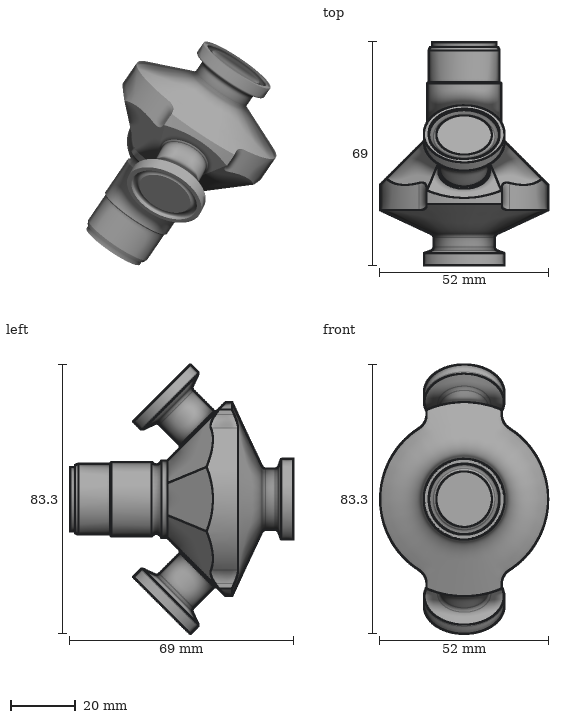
import cadquery as cq
import math

OVERALL_LENGTH = 69.0
OVERALL_HEIGHT = 83.3

FLANGE_R = 12.5
FLANGE_RIM = 3.3
RIM_EDGE = 0.5
RIM_EDGE_DROP = 0.25
FLARE_ANGLE = 20.0
FLARE_FILLET = 1.2

GROOVE_R = 11.0
GROOVE_WALL_R = 10.8
GROOVE_WALL_DEPTH = 0.5
GROOVE_MIDDLE_R = 10.2
GROOVE_DEPTH = 1.7
GROOVE_INNER_R = 9.5
GROOVE_INNER_DEPTH = 1.4
DISC_R = 8.6
DISC_DEPTH = 0.5

NECK_R = 9.5
NECK_FILLET = 1.25
CONE_ANGLE = 65.0

DISC_BODY_R = 26.0
LOBE_R = 30.0
LOBE_HALF_WIDTH = 11.7
LOBE_FILLET = 5.0
LOBE_FRONT_Y = 18.9
BODY_BACK_Y = 38.8
PYRAMID_SIDES = 8
PYRAMID_ANGLE = 45.0

COLLAR_R = 12.0
COLLAR_END_Y = 40.75
RELIEF_R = 10.75
RELIEF_MIDDLE_Y = 42.25
RELIEF_END_Y = 43.75
SPIGOT_R = 11.5
SPIGOT_END_Y = 56.25
TAIL_START_Y = 56.7
TAIL_R = 11.0
TAIL_END_Y = 66.4
TAIL_CHAMFER_R = 10.5
TIP_R = 10.0
TIP_START_Y = 67.5

NOZZLE_R = 7.5
NOZZLE_LENGTH = 16.0
NOZZLE_ROOT = 2.5
NOZZLE_ROOT_FILLET = 0.5


def flanged_stem(stem_r, length):
    """Flange with its face at y = 0 and a stem running along +Y."""
    edge_r = FLANGE_R - RIM_EDGE_DROP
    edge_y = FLANGE_RIM + RIM_EDGE
    root_y = edge_y + (edge_r - stem_r) * math.tan(math.radians(FLARE_ANGLE))
    tangent = FLARE_FILLET * math.tan(math.radians(45 - FLARE_ANGLE / 2))
    turn = math.radians(90 - FLARE_ANGLE)
    flare_end = (
        stem_r + tangent * math.cos(math.radians(FLARE_ANGLE)),
        root_y - tangent * math.sin(math.radians(FLARE_ANGLE)),
    )
    stem_start_y = root_y + tangent
    fillet_middle = (
        stem_r + FLARE_FILLET * (1 - math.cos(turn / 2)),
        stem_start_y - FLARE_FILLET * math.sin(turn / 2),
    )
    profile = (
        cq.Workplane("XY")
        .moveTo(0, DISC_DEPTH)
        .lineTo(DISC_R, DISC_DEPTH)
        .lineTo(GROOVE_INNER_R, GROOVE_INNER_DEPTH)
        .threePointArc((GROOVE_MIDDLE_R, GROOVE_DEPTH), (GROOVE_WALL_R, GROOVE_WALL_DEPTH))
        .lineTo(GROOVE_R, 0)
        .lineTo(FLANGE_R, 0)
        .lineTo(FLANGE_R, FLANGE_RIM)
        .tangentArcPoint((edge_r, edge_y), relative=False)
        .lineTo(*flare_end)
        .threePointArc(fillet_middle, (stem_r, stem_start_y))
        .lineTo(stem_r, length)
        .lineTo(0, length)
        .close()
    )
    return profile.revolve(360, (0, 0, 0), (0, 1, 0))


def body_outline(depth):
    """Disc with two filleted lobes, extruded along +Y from y = 0."""
    disc = cq.Workplane("XZ").circle(DISC_BODY_R).extrude(-depth)
    lobes = (
        cq.Workplane("XZ")
        .rect(2 * LOBE_HALF_WIDTH, 2 * LOBE_R)
        .extrude(-depth)
        .intersect(cq.Workplane("XZ").circle(LOBE_R).extrude(-depth))
    )
    corner_z = math.sqrt(DISC_BODY_R**2 - LOBE_HALF_WIDTH**2)
    reach = 0.8
    corners = cq.selectors.BoxSelector(
        (-LOBE_HALF_WIDTH - reach, 0, -corner_z - reach),
        (LOBE_HALF_WIDTH + reach, depth, corner_z + reach),
    )
    return disc.union(lobes).edges("|Y").edges(corners).fillet(LOBE_FILLET)


def front_cone():
    """Cone whose surface reaches the lobe radius at LOBE_FRONT_Y, closed at the body back."""
    slope = math.tan(math.radians(CONE_ANGLE))
    apex_y = LOBE_FRONT_Y - LOBE_R / slope
    back_r = (BODY_BACK_Y - apex_y) * slope
    return (
        cq.Workplane("XY")
        .polyline([(0, apex_y), (back_r, BODY_BACK_Y), (0, BODY_BACK_Y)])
        .close()
        .revolve(360, (0, 0, 0), (0, 1, 0))
    )


def rear_pyramid():
    """Octagonal pyramid that touches the collar at the back and widens to y = 0."""
    corner_ratio = 1 / math.cos(math.pi / PYRAMID_SIDES)
    back_flat_r = COLLAR_R
    front_flat_r = COLLAR_R + BODY_BACK_Y * math.tan(math.radians(PYRAMID_ANGLE))
    half_side = 180 / PYRAMID_SIDES
    return (
        cq.Workplane("XZ", origin=(0, BODY_BACK_Y, 0))
        .transformed(rotate=(0, 0, half_side))
        .polygon(PYRAMID_SIDES, 2 * back_flat_r * corner_ratio)
        .workplane(offset=BODY_BACK_Y)
        .polygon(PYRAMID_SIDES, 2 * front_flat_r * corner_ratio)
        .loft(ruled=True)
    )


def spigot():
    """Collar, relief groove and stepped cylinder at the rear."""
    return (
        cq.Workplane("XY")
        .moveTo(0, LOBE_FRONT_Y)
        .lineTo(COLLAR_R, LOBE_FRONT_Y)
        .lineTo(COLLAR_R, COLLAR_END_Y)
        .threePointArc((RELIEF_R, RELIEF_MIDDLE_Y), (SPIGOT_R, RELIEF_END_Y))
        .lineTo(SPIGOT_R, SPIGOT_END_Y)
        .lineTo(TAIL_R, TAIL_START_Y)
        .lineTo(TAIL_R, TAIL_END_Y)
        .lineTo(TAIL_CHAMFER_R, TIP_START_Y)
        .lineTo(TIP_R, TIP_START_Y)
        .lineTo(TIP_R, OVERALL_LENGTH)
        .lineTo(0, OVERALL_LENGTH)
        .close()
        .revolve(360, (0, 0, 0), (0, 1, 0))
    )


def upper_nozzle():
    """Flanged nozzle leaning back, with a small root fillet on the pyramid face."""
    lean = math.radians(PYRAMID_ANGLE)
    face_z = OVERALL_HEIGHT / 2 - FLANGE_R * math.cos(lean)
    root_z = face_z - NOZZLE_LENGTH * math.sin(lean)
    root_y = BODY_BACK_Y - (root_z - COLLAR_R) / math.tan(lean)
    face_y = root_y + NOZZLE_LENGTH * math.cos(lean)
    stem = flanged_stem(NOZZLE_R, NOZZLE_LENGTH + NOZZLE_ROOT)
    fillet_start = NOZZLE_LENGTH - NOZZLE_ROOT_FILLET
    flared_r = NOZZLE_R + NOZZLE_ROOT_FILLET
    root = (
        cq.Workplane("XY")
        .moveTo(0, fillet_start)
        .lineTo(NOZZLE_R, fillet_start)
        .radiusArc((flared_r, NOZZLE_LENGTH), -NOZZLE_ROOT_FILLET)
        .lineTo(flared_r, NOZZLE_LENGTH + NOZZLE_ROOT)
        .lineTo(0, NOZZLE_LENGTH + NOZZLE_ROOT)
        .close()
        .revolve(360, (0, 0, 0), (0, 1, 0))
    )
    return (
        stem.union(root)
        .rotate((0, 0, 0), (1, 0, 0), 180 + PYRAMID_ANGLE)
        .translate((0, face_y, face_z))
    )


body = body_outline(BODY_BACK_Y).intersect(front_cone()).intersect(rear_pyramid())
body = body.union(flanged_stem(NECK_R, LOBE_FRONT_Y))
neck_corner = cq.selectors.BoxSelector(
    (-FLANGE_R, FLANGE_RIM + 2 * NECK_FILLET + FLARE_FILLET, -FLANGE_R),
    (FLANGE_R, LOBE_FRONT_Y - NECK_FILLET, FLANGE_R),
)
body = body.edges("%CIRCLE").edges(neck_corner).fillet(NECK_FILLET)

nozzle = upper_nozzle()
result = body.union(spigot()).union(nozzle).union(nozzle.mirror("XY"))